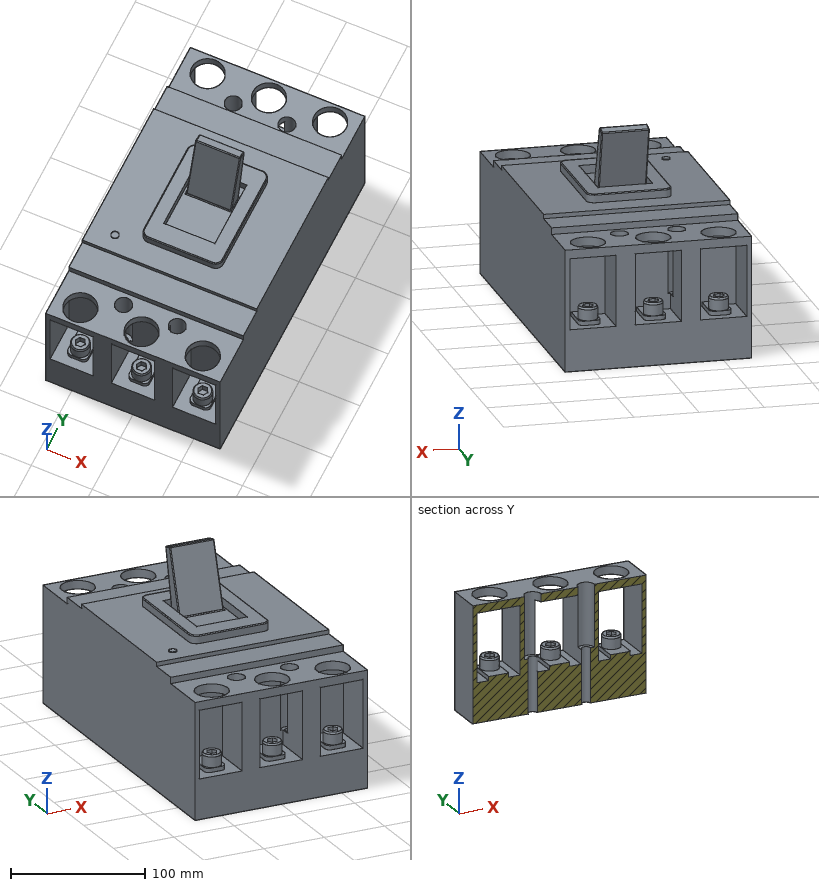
import cadquery as cq

length = 256.0
width = 143.0
shoulder_top = 95.0
step_top = 100.0
cover_top = 103.5
step_half_length = 87.0
cover_half_length = 63.2

pole_pitch = 50.2
pocket_width = 35.3
pocket_depth = 33.0
pocket_floor = 32.8
pocket_height = 55.3
access_hole_diameter = 26.0
terminal_y = 112.6

strip_width = 16.6
strip_thickness = 3.3
strip_end_y = 120.3
strip_corner_radius = 4.0
screw_diameter = 14.8
screw_height = 10.0
screw_chamfer_height = 1.5
screw_chamfer_width = 0.8
socket_diameter = 8.2
socket_depth = 5.0

mount_x = 22.0
mount_y = 97.0
mount_hole_diameter = 7.2
mount_bore_diameter = 13.3
mount_bore_floor = 44.5

frame_width = 65.0
frame_length = 89.0
frame_height = 6.7
frame_corner_radius = 6.1
frame_edge_chamfer = 0.8
window_width = 42.0
window_length = 56.3

lever_width = 36.9
lever_root_front_y = 6.1
lever_root_back_y = 19.2
lever_top = 155.0
lever_tip_front_y = 22.3
lever_tip_back_y = 30.0
lever_tip_drop = 2.0
lever_edge_chamfer = 0.8
lever_root_flare = 0.8
lever_root_flare_angle = 45.0

button_x = -51.2
button_y = -49.2
button_diameter = 6.1
button_height = 0.8

pole_centers = [-pole_pitch, 0, pole_pitch]
pocket_back_y = length / 2 - pocket_depth


def block(size_x, size_y, height, base_z):
    """Box centred on the Z axis that stands on base_z."""
    base = cq.Workplane("XY", origin=(0, 0, base_z))
    return base.box(size_x, size_y, height, centered=(True, True, False))


def make_housing():
    body = block(width, length, shoulder_top, 0)
    body = body.union(block(width, 2 * step_half_length, step_top, 0))
    return body.union(block(width, 2 * cover_half_length, cover_top, 0))


def make_terminal_cut(x):
    """Pocket open to the +Y end, with its access hole from above."""
    pocket = block(pocket_width, pocket_depth, pocket_height, pocket_floor)
    pocket = pocket.translate((x, length / 2 - pocket_depth / 2, 0))
    access_height = shoulder_top - pocket_floor
    access = cq.Workplane("XY", origin=(x, terminal_y, pocket_floor))
    access = access.circle(access_hole_diameter / 2).extrude(access_height)
    return pocket.union(access)


def make_terminal(x):
    """Strip with rounded outer corners and a hexagon-socket screw."""
    strip_length = strip_end_y - pocket_back_y
    strip = block(strip_width, strip_length, strip_thickness, pocket_floor)
    strip = strip.edges("|Z and >Y").fillet(strip_corner_radius)
    strip = strip.translate((x, pocket_back_y + strip_length / 2, 0))
    screw = (
        cq.Workplane("XY", origin=(x, terminal_y, pocket_floor))
        .circle(screw_diameter / 2)
        .extrude(strip_thickness + screw_height)
        .faces(">Z")
        .chamfer(screw_chamfer_height, screw_chamfer_width)
    )
    socket = screw.faces(">Z").workplane(origin=(x, terminal_y, 0))
    screw = socket.polygon(6, socket_diameter).cutBlind(-socket_depth)
    return strip.union(screw)


def make_mount_cut(x):
    hole = cq.Workplane("XY", origin=(x, mount_y, 0)).circle(mount_hole_diameter / 2).extrude(shoulder_top)
    bore = cq.Workplane("XY", origin=(x, mount_y, mount_bore_floor))
    bore = bore.circle(mount_bore_diameter / 2).extrude(shoulder_top - mount_bore_floor)
    return hole.union(bore)


def make_frame():
    frame = block(frame_width, frame_length, frame_height, cover_top)
    frame = frame.edges("|Z").fillet(frame_corner_radius)
    frame = frame.faces(">Z").chamfer(frame_edge_chamfer)
    return frame.cut(block(window_width, window_length, frame_height, cover_top))


def make_lever():
    profile = [
        (lever_root_front_y, cover_top),
        (lever_root_back_y, cover_top),
        (lever_tip_back_y, lever_top - lever_tip_drop),
        (lever_tip_front_y, lever_top),
    ]
    lever = cq.Workplane("YZ").polyline(profile).close().extrude(lever_width / 2, both=True)
    lever = lever.edges("not <Z").chamfer(lever_edge_chamfer)
    root_length = lever_root_back_y - lever_root_front_y
    root_y = (lever_root_front_y + lever_root_back_y) / 2
    collar = (
        cq.Workplane("XY", origin=(0, root_y, cover_top))
        .rect(lever_width + 2 * lever_root_flare, root_length + 2 * lever_root_flare)
        .extrude(lever_root_flare, taper=lever_root_flare_angle)
    )
    return lever.union(collar)


def make_button():
    button = cq.Workplane("XY", origin=(button_x, button_y, cover_top))
    return button.circle(button_diameter / 2).extrude(button_height)


def at_both_ends(feature):
    """The feature at the +Y end together with its mirror image at the -Y end."""
    return feature.union(feature.mirror("XZ"))


result = make_housing()
for pole_x in pole_centers:
    result = result.cut(at_both_ends(make_terminal_cut(pole_x)))
for hole_x in (-mount_x, mount_x):
    result = result.cut(at_both_ends(make_mount_cut(hole_x)))
for pole_x in pole_centers:
    result = result.union(at_both_ends(make_terminal(pole_x)))
result = result.union(make_frame()).union(make_lever()).union(make_button())